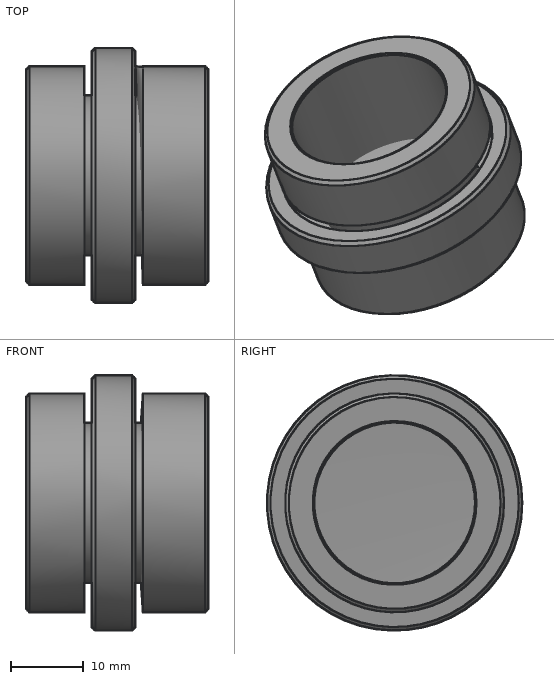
import cadquery as cq

length = 25.0
body_diameter = 30.0
flange_diameter = 35.0
bore_diameter = 22.0

flange_start = 9.0
flange_width = 6.0

edge_chamfer = 0.5
bore_chamfer = 0.2

groove_width = 1.0

left_end = -length / 2
flange_left = left_end + flange_start
flange_right = flange_left + flange_width


def cylinder(diameter, start, width):
    """Solid cylinder along +X, beginning at the plane X = start."""
    return cq.Workplane("YZ", origin=(start, 0, 0)).circle(diameter / 2).extrude(width)


def relief_groove(start):
    """Torus centred on the body surface, to cut a half-round groove."""
    profile = cq.Workplane("XY").center(start + groove_width / 2, body_diameter / 2).circle(groove_width / 2)
    axis_point = (0, -body_diameter / 2, 0)
    return profile.revolve(360, axis_point, (1, -body_diameter / 2, 0))


body = cylinder(body_diameter, left_end, length).edges().chamfer(edge_chamfer)
flange = cylinder(flange_diameter, flange_left, flange_width).edges().chamfer(edge_chamfer)
result = body.union(flange)

for groove_start in (flange_left - groove_width, flange_right):
    result = result.cut(relief_groove(groove_start))

result = result.cut(cylinder(bore_diameter, left_end, length))
bore_rims = result.faces("<X or >X").edges(cq.selectors.RadiusNthSelector(0))
result = bore_rims.chamfer(bore_chamfer)